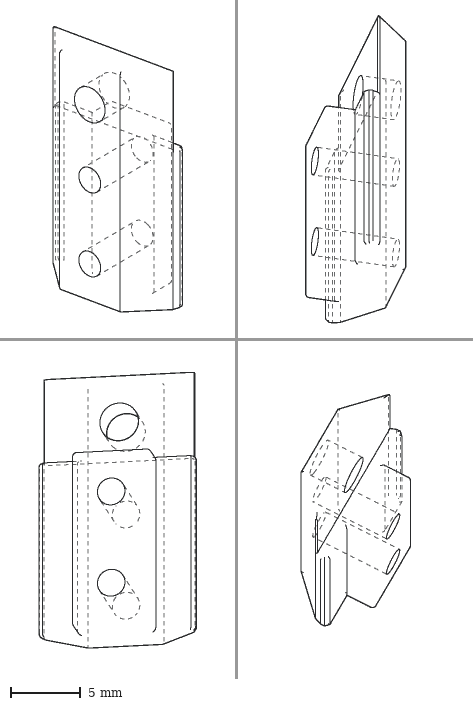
import cadquery as cq

HEIGHT = 19.5
DEPTH = 6.0
FLANGE_WIDTH = 11.4
LOWER_HEIGHT = 13.0

FRONT_WIDTH = 5.55
BODY_WIDTH = 11.0
FLARE_DEPTH = 2.65
BODY_DEPTH = 2.8
BODY_EDGE_INSET = 0.06

FLANGE_SIDE_START = 3.2
FLANGE_DEPTH = 3.8
FLANGE_CHAMFER = 0.3
STEM_WIDTH = 5.7
STEM_FILLET = 0.3

END_FILLET = 0.3

LARGE_HOLE_DIAMETER = 2.8
SMALL_HOLE_DIAMETER = 2.0
SMALL_HOLE_MARGIN = 3.1
LARGE_HOLE_OFFSET = 3.0

BODY_HALF = BODY_WIDTH / 2
FLANGE_HALF = FLANGE_WIDTH / 2
STEM_HALF = STEM_WIDTH / 2
FRONT_HALF = FRONT_WIDTH / 2


def symmetric_prism(right_side, bottom, top):
    """Extrude an outline given by its +X half, from front to back."""
    left_side = [(-x, y) for x, y in reversed(right_side)]
    outline = cq.Workplane("XY").workplane(offset=bottom).polyline(right_side + left_side)
    return outline.close().extrude(top - bottom)


def make_upper_body():
    """Dovetail above the flange; it starts half-way up inside the lower section."""
    bottom = LOWER_HEIGHT / 2
    flare_slope = (BODY_HALF - FRONT_HALF) / FLARE_DEPTH
    sharp_side = [(FRONT_HALF, 0), (FRONT_HALF + BODY_DEPTH * flare_slope, BODY_DEPTH)]
    body = symmetric_prism(sharp_side, bottom, HEIGHT)
    body = body.faces(">Z").edges().fillet(END_FILLET)

    blunt_side = [
        (FRONT_HALF, 0),
        (BODY_HALF, FLARE_DEPTH),
        (BODY_HALF - BODY_EDGE_INSET, BODY_DEPTH),
    ]
    return body.intersect(symmetric_prism(blunt_side, bottom, HEIGHT))


def make_lower_section():
    """Dovetail with its flange and stem, rounded at both ends."""
    right_side = [
        (FRONT_HALF, 0),
        (BODY_HALF, FLARE_DEPTH),
        (FLANGE_HALF, FLANGE_SIDE_START),
        (FLANGE_HALF, FLANGE_DEPTH - FLANGE_CHAMFER),
        (FLANGE_HALF - FLANGE_CHAMFER, FLANGE_DEPTH),
        (STEM_HALF, FLANGE_DEPTH),
        (STEM_HALF, DEPTH),
    ]
    section = symmetric_prism(right_side, 0, LOWER_HEIGHT)
    section = section.faces(">Y").edges("|Z").fillet(STEM_FILLET)
    return section.faces("<Z or >Z").edges().fillet(END_FILLET)


def make_hole(diameter, z):
    """Cylinder along Y through the full depth of the part."""
    return cq.Workplane("XZ").center(0, z).circle(diameter / 2).extrude(-DEPTH)


result = make_lower_section().union(make_upper_body()).clean()

holes = [
    (SMALL_HOLE_DIAMETER, SMALL_HOLE_MARGIN),
    (SMALL_HOLE_DIAMETER, LOWER_HEIGHT - SMALL_HOLE_MARGIN),
    (LARGE_HOLE_DIAMETER, LOWER_HEIGHT + LARGE_HOLE_OFFSET),
]
for diameter, z in holes:
    result = result.cut(make_hole(diameter, z))